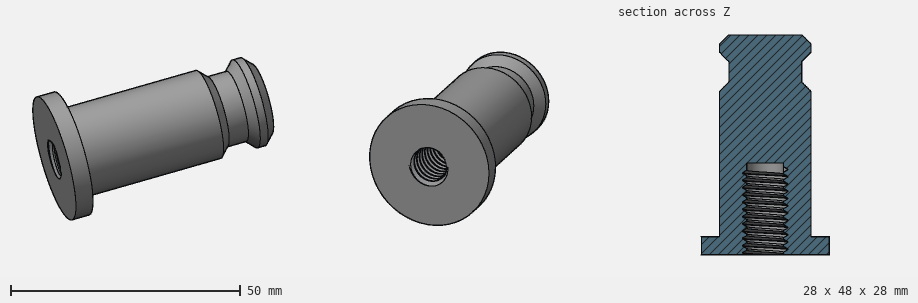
import cadquery as cq
import math

length = 48.0
flange_radius = 28.0 / 2
flange_thickness = 4.0
shaft_radius = 20.0 / 2
neck_radius = 16.0 / 2

cone_length = shaft_radius - neck_radius
rim_width = 1.8
neck_length = 4.45

hole_radius = 7.95 / 2
hole_depth = 20.0
thread_pitch = 1.6
thread_depth = 0.9
thread_root_width = 0.15
thread_half_angle = math.radians(30)
thread_overlap = 0.15
thread_start = -thread_pitch / 4
thread_turns = 12


def make_body():
    """Stepped pin revolved about the Y axis."""
    rim_top = length - cone_length
    rim_bottom = rim_top - rim_width
    neck_top = rim_bottom - cone_length
    neck_bottom = neck_top - neck_length
    shaft_top = neck_bottom - cone_length
    outline = [
        (0, 0),
        (flange_radius, 0),
        (flange_radius, flange_thickness),
        (shaft_radius, flange_thickness),
        (shaft_radius, shaft_top),
        (neck_radius, neck_bottom),
        (neck_radius, neck_top),
        (shaft_radius, rim_bottom),
        (shaft_radius, rim_top),
        (neck_radius, length),
        (0, length),
    ]
    return cq.Workplane("XY").polyline(outline).close().revolve(360, (0, 0), (0, 1))


def make_hole():
    """Plain core of the blind hole, built along +Z."""
    return cq.Workplane("XY").circle(hole_radius).extrude(hole_depth)


def make_thread():
    """Right-hand groove cutter, built along +Z from the +X side."""
    inner_radius = hole_radius - thread_overlap
    root_radius = hole_radius + thread_depth
    root_half_width = thread_root_width / 2
    half_width = root_half_width + (root_radius - inner_radius) * math.tan(thread_half_angle)
    path = cq.Wire.makeHelix(thread_pitch, thread_turns * thread_pitch, hole_radius)
    groove = (
        cq.Workplane("XZ")
        .moveTo(inner_radius, -half_width)
        .lineTo(root_radius, -root_half_width)
        .lineTo(root_radius, root_half_width)
        .lineTo(inner_radius, half_width)
        .close()
        .sweep(cq.Workplane(path), isFrenet=True)
    )
    return groove.translate((0, 0, thread_start))


def along_y(shape):
    """Turn a shape built along +Z so that it runs along +Y."""
    return shape.rotate((0, 0, 0), (1, 0, 0), -90)


result = make_body().cut(along_y(make_hole())).cut(along_y(make_thread()))